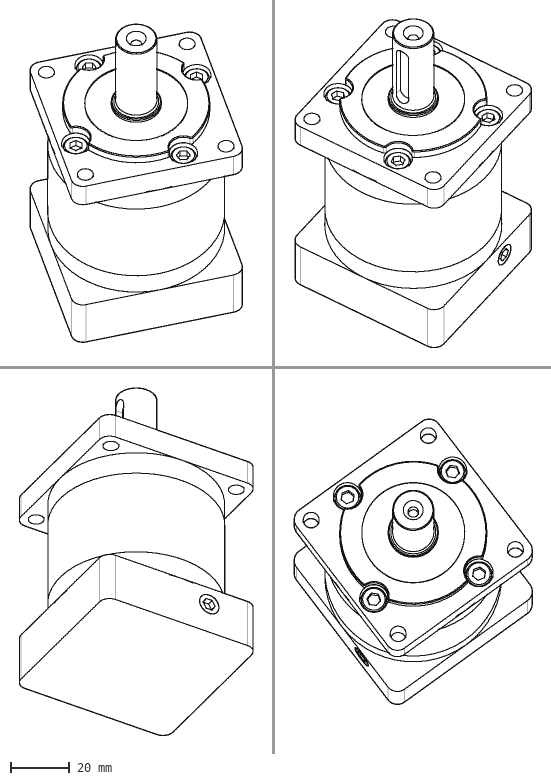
import cadquery as cq
import math

TOTAL_HEIGHT = 112.0
SIDE = 60.0
BODY_RADIUS = SIDE / 2
CORNER_RADIUS = 4.0

BASE_TOP = 18.5
LOWER_JOINT = 26.5
UPPER_JOINT = 59.5
FLANGE_BOTTOM = 68.0
FLANGE_TOP = 77.0
PILOT_TOP = 80.1

PILOT_RADIUS = 25.0
PILOT_CHAMFER = 0.3
SEAL_RADIUS = 17.5
SEAL_DEPTH = 0.5

MOUNT_OFFSET = 24.8
MOUNT_RADIUS = 2.7

SCREW_COUNT = 4
SCREW_CIRCLE_RADIUS = 26.0
SCREW_START_ANGLE = 22.5
COUNTERBORE_RADIUS = 4.8
COUNTERBORE_DEPTH = 6.0
NOTCH_CLEARANCE = 0.06
NOTCH_RADIUS = COUNTERBORE_RADIUS + NOTCH_CLEARANCE
NOTCH_FILLET = 0.8
HEAD_RADIUS = 4.3
HEAD_HEIGHT = 5.0
HEAD_CHAMFER = 0.5
HEX_ACROSS_FLATS = 4.0
HEX_ACROSS_CORNERS = HEX_ACROSS_FLATS / math.cos(math.pi / 6)
HEX_DEPTH = 2.5
HEX_START_ANGLE = 15.0

SHAFT_RADIUS = 7.0
SHAFT_CHAMFER = 0.3
COLLAR_RADIUS = 8.5
COLLAR_TOP = 80.9
COLLAR_CHAMFER = 0.3
CONE_RADIUS = 7.6
CONE_TOP = 81.5
CENTRE_RADIUS = 3.4
CENTRE_DRILL_RADIUS = 1.8
CENTRE_CONE_DEPTH = (CENTRE_RADIUS - CENTRE_DRILL_RADIUS) * math.sqrt(3)
CENTRE_DRILL_DEPTH = 6.7
CENTRE_TIP_DEPTH = CENTRE_DRILL_DEPTH + CENTRE_DRILL_RADIUS / math.sqrt(3)

KEY_WIDTH = 5.0
KEY_LENGTH = 25.0
KEY_DEPTH = 3.0
KEY_CENTRE_Z = 96.4

PLUG_Y = -11.0
PLUG_Z = 11.8
PLUG_RADIUS = 3.8
PLUG_RECESS = 0.1


def cylinder(radius, bottom, top):
    return cq.Workplane("XY").workplane(offset=bottom).circle(radius).extrude(top - bottom)


def square_plate(bottom, top):
    plate = cq.Workplane("XY").workplane(offset=bottom).rect(SIDE, SIDE).extrude(top - bottom)
    return plate.edges("|Z").fillet(CORNER_RADIUS)


def polar(radius, angle):
    return (radius * math.cos(angle), radius * math.sin(angle))


def screw_points():
    pitch = 2 * math.pi / SCREW_COUNT
    start = math.radians(SCREW_START_ANGLE)
    return [polar(SCREW_CIRCLE_RADIUS, start + index * pitch) for index in range(SCREW_COUNT)]


def triangle_angle(near_a, near_b, opposite):
    """Angle between sides near_a and near_b of a triangle, facing the side opposite."""
    return math.acos((near_a**2 + near_b**2 - opposite**2) / (2 * near_a * near_b))


def pilot_outline():
    """Circle with a notch around every screw, each notch mouth rounded by tangent arcs.

    A mouth arc is centred NOTCH_FILLET inside the pilot circle and NOTCH_FILLET
    outside the notch circle, so its centre is fixed by those two distances.
    """
    centre_radius = PILOT_RADIUS - NOTCH_FILLET
    centre_to_screw = NOTCH_RADIUS + NOTCH_FILLET
    half_mouth = triangle_angle(centre_radius, SCREW_CIRCLE_RADIUS, centre_to_screw)
    half_notch = triangle_angle(centre_to_screw, SCREW_CIRCLE_RADIUS, centre_radius)
    pitch = 2 * math.pi / SCREW_COUNT
    start = math.radians(SCREW_START_ANGLE)

    def notch_point(screw_angle, offset):
        x, y = polar(SCREW_CIRCLE_RADIUS, screw_angle)
        dx, dy = polar(NOTCH_RADIUS, screw_angle + math.pi + offset)
        return (x + dx, y + dy)

    def fillet_middle(screw_angle, side):
        x, y = polar(centre_radius, screw_angle + side * half_mouth)
        dx, dy = polar(NOTCH_FILLET, screw_angle + side * (half_mouth - half_notch) / 2)
        return (x + dx, y + dy)

    outline = cq.Workplane("XY").workplane(offset=FLANGE_TOP)
    outline = outline.moveTo(*polar(PILOT_RADIUS, start - half_mouth))
    for index in range(SCREW_COUNT):
        angle = start + index * pitch
        outline = (
            outline
            .threePointArc(fillet_middle(angle, -1), notch_point(angle, half_notch))
            .threePointArc(notch_point(angle, 0), notch_point(angle, -half_notch))
            .threePointArc(fillet_middle(angle, 1), polar(PILOT_RADIUS, angle + half_mouth))
            .threePointArc(
                polar(PILOT_RADIUS, angle + pitch / 2),
                polar(PILOT_RADIUS, angle + pitch - half_mouth),
            )
        )
    return outline.close()


def make_pilot():
    """Notched round boss with a chamfered rim and a shallow seal recess."""
    pilot = pilot_outline().extrude(PILOT_TOP - FLANGE_TOP)
    pilot = pilot.faces(">Z").edges().chamfer(PILOT_CHAMFER)
    return pilot.cut(cylinder(SEAL_RADIUS, PILOT_TOP - SEAL_DEPTH, PILOT_TOP))


def make_screw_head(x, y, angle):
    seat = FLANGE_TOP - COUNTERBORE_DEPTH
    head = cylinder(HEAD_RADIUS, seat, seat + HEAD_HEIGHT).faces(">Z").edges().chamfer(HEAD_CHAMFER)
    socket = (
        cq.Workplane("XY").workplane(offset=seat + HEAD_HEIGHT - HEX_DEPTH)
        .polygon(6, HEX_ACROSS_CORNERS).extrude(HEX_DEPTH)
    )
    return head.cut(socket).rotate((0, 0, 0), (0, 0, 1), angle).translate((x, y, 0))


def make_shaft():
    """Stepped shaft with a centre hole in its end and a round-ended keyway."""
    profile = [
        (0, FLANGE_TOP),
        (COLLAR_RADIUS, FLANGE_TOP),
        (COLLAR_RADIUS, COLLAR_TOP - COLLAR_CHAMFER),
        (COLLAR_RADIUS - COLLAR_CHAMFER, COLLAR_TOP),
        (CONE_RADIUS, COLLAR_TOP),
        (SHAFT_RADIUS, CONE_TOP),
        (SHAFT_RADIUS, TOTAL_HEIGHT - SHAFT_CHAMFER),
        (SHAFT_RADIUS - SHAFT_CHAMFER, TOTAL_HEIGHT),
        (CENTRE_RADIUS, TOTAL_HEIGHT),
        (CENTRE_DRILL_RADIUS, TOTAL_HEIGHT - CENTRE_CONE_DEPTH),
        (CENTRE_DRILL_RADIUS, TOTAL_HEIGHT - CENTRE_DRILL_DEPTH),
        (0, TOTAL_HEIGHT - CENTRE_TIP_DEPTH),
    ]
    shaft = cq.Workplane("XZ").polyline(profile).close().revolve(360, (0, 0, 0), (0, 1, 0))
    keyway = (
        cq.Workplane("XZ", origin=(0, SHAFT_RADIUS, KEY_CENTRE_Z))
        .slot2D(KEY_LENGTH, KEY_WIDTH, 90).extrude(KEY_DEPTH)
    )
    return shaft.cut(keyway)


def make_output_flange():
    """Square flange, its spigot, pilot boss, sunk screws and output shaft."""
    spigot = cylinder(BODY_RADIUS, UPPER_JOINT, FLANGE_BOTTOM)
    mount_holes = (
        cq.Workplane("XY").workplane(offset=FLANGE_BOTTOM)
        .rect(2 * MOUNT_OFFSET, 2 * MOUNT_OFFSET, forConstruction=True).vertices()
        .circle(MOUNT_RADIUS).extrude(FLANGE_TOP - FLANGE_BOTTOM)
    )
    counterbores = (
        cq.Workplane("XY").workplane(offset=FLANGE_TOP - COUNTERBORE_DEPTH).pushPoints(screw_points())
        .circle(COUNTERBORE_RADIUS).extrude(COUNTERBORE_DEPTH)
    )
    flange = square_plate(FLANGE_BOTTOM, FLANGE_TOP).union(spigot).cut(mount_holes)
    flange = flange.cut(counterbores).union(make_pilot())
    for index, (x, y) in enumerate(screw_points()):
        flange = flange.union(make_screw_head(x, y, HEX_START_ANGLE + index * 360 / SCREW_COUNT))
    return flange.union(make_shaft())


def make_ring_gear():
    return cylinder(BODY_RADIUS, LOWER_JOINT, UPPER_JOINT)


def make_input_flange():
    """Square base with a round spigot and a plug with a hex socket in its -X face."""
    base = square_plate(0, BASE_TOP).union(cylinder(BODY_RADIUS, BASE_TOP, LOWER_JOINT))
    plug_face = cq.Workplane("YZ", origin=(-SIDE / 2, PLUG_Y, PLUG_Z))
    recess = plug_face.circle(PLUG_RADIUS).extrude(PLUG_RECESS)
    socket = plug_face.polygon(6, HEX_ACROSS_CORNERS).extrude(HEX_DEPTH)
    return base.cut(recess).cut(socket)


output_flange = make_output_flange()
ring_gear = make_ring_gear()
input_flange = make_input_flange()

result = cq.Compound.makeCompound([output_flange.val(), ring_gear.val(), input_flange.val()])